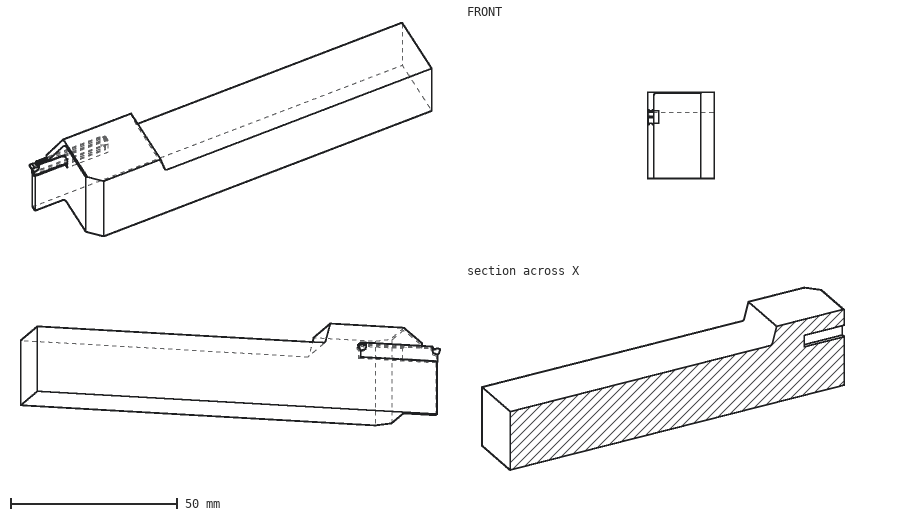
import cadquery as cq
import math


length = 125.0
width = 20.0
shank_height = 20.0
head_height = 26.0
head_rear = 34.1
head_rear_angle = 15.0
step_fillet = 0.6
nose_top = 11.4
nose_front = 5.6
nose_front_height = 21.5
nose_fillet = 0.4
blade_front = 1.0
blade_thickness = 1.9
shoulder = 11.0
root_fillet = 0.8
shoulder_chamfer = 4.0

insert_length = 25.4
insert_bottom = 16.3
insert_top = 20.8
insert_end = 0.8
land_end = 2.5
groove_end = 2.0
chip_groove_height = 19.9
bump = 0.9
bump_height = 20.3
flank = 0.4
flank_height = 18.8
heel_height = 18.3
head_root = 2.3
side_relief = 0.1
groove_depth = 0.4
groove_mouth = 1.1
groove_floor = 0.6

pocket_depth = 3.4
tip_relief = 0.1
tip_relief_half_height = 0.8

insert_rear = insert_length - insert_end
insert_middle = (insert_bottom + insert_top) / 2


def side_prism(points, x_start, x_end):
    """Extrude a Y-Z outline from x_start to x_end."""
    return cq.Workplane("YZ", origin=(x_start, 0, 0)).polyline(points).close().extrude(x_end - x_start)


def make_locating_ridges():
    """Tapered ridges that point into the insert from above and below."""
    middle = blade_thickness / 2
    ridges = cq.Workplane("XZ")
    for mouth_height, floor_height in (
        (insert_bottom, insert_bottom + groove_depth),
        (insert_top, insert_top - groove_depth),
    ):
        ridges = ridges.polyline(
            [
                (middle - groove_mouth / 2, mouth_height),
                (middle + groove_mouth / 2, mouth_height),
                (middle + groove_floor / 2, floor_height),
                (middle - groove_floor / 2, floor_height),
            ]
        ).close()
    return ridges.extrude(-insert_length)


def make_pocket():
    """Space for the insert: a seat with locating ridges and a deeper slot beside it."""
    seat = side_prism(
        [(0, insert_bottom), (insert_rear, insert_bottom), (insert_rear, insert_top), (0, insert_top)],
        0,
        blade_thickness,
    )
    tip_notch = side_prism(
        [
            (insert_rear, heel_height),
            (insert_length + tip_relief, shank_height - tip_relief_half_height),
            (insert_length + tip_relief, shank_height),
            (insert_rear, shank_height + tip_relief_half_height),
        ],
        0,
        blade_thickness,
    )
    slot_bottom = insert_bottom + groove_depth
    slot_top = insert_top - groove_depth
    slot = side_prism(
        [(0, slot_bottom), (insert_rear, slot_bottom), (insert_rear, slot_top), (0, slot_top)],
        blade_thickness,
        pocket_depth,
    )
    return seat.cut(make_locating_ridges()).union(tip_notch).union(slot)


def make_holder():
    head_rise = head_height - shank_height
    step_foot = head_rear + head_rise * math.tan(math.radians(head_rear_angle))
    holder = side_prism(
        [
            (blade_front, 0),
            (length, 0),
            (length, shank_height),
            (step_foot, shank_height),
            (head_rear, head_height),
            (nose_top, head_height),
            (nose_front, nose_front_height),
            (nose_front, insert_middle),
            (blade_front, insert_middle),
        ],
        0,
        width,
    )
    holder = holder.edges(cq.NearestToPointSelector((width / 2, step_foot, shank_height))).fillet(step_fillet)
    holder = holder.edges(
        cq.NearestToPointSelector((width / 2, nose_front, nose_front_height))
    ).fillet(nose_fillet)

    fillet_end = blade_thickness + root_fillet
    fillet_middle = root_fillet * (1 - math.sqrt(0.5))
    beside_blade = (
        cq.Workplane("XY")
        .moveTo(blade_thickness, 0)
        .lineTo(blade_thickness, shoulder - root_fillet)
        .threePointArc(
            (blade_thickness + fillet_middle, shoulder - fillet_middle),
            (fillet_end, shoulder),
        )
        .lineTo(width - shoulder_chamfer, shoulder)
        .lineTo(width, shoulder + shoulder_chamfer)
        .lineTo(width, 0)
        .close()
        .extrude(head_height)
    )
    return holder.cut(beside_blade).cut(make_pocket())


def make_cutting_head():
    """Full-width cutting head at the front end of the insert."""
    return side_prism(
        [
            (0, shank_height),
            (bump, bump_height),
            (groove_end, chip_groove_height),
            (land_end, insert_top),
            (head_root, flank_height),
            (insert_end, heel_height),
            (flank, flank_height),
        ],
        0,
        blade_thickness,
    )


def make_insert():
    body = side_prism(
        [
            (insert_end, insert_bottom),
            (insert_rear, insert_bottom),
            (insert_rear, heel_height),
            (insert_length - head_root, flank_height),
            (insert_length - land_end, insert_top),
            (land_end, insert_top),
            (head_root, flank_height),
            (insert_end, heel_height),
        ],
        side_relief,
        blade_thickness - side_relief,
    )
    front_head = make_cutting_head()
    rear_head = front_head.mirror("XZ", (0, insert_length / 2, 0))
    return body.union(front_head).union(rear_head).cut(make_locating_ridges())


holder = make_holder()
insert = make_insert()
result = cq.Compound.makeCompound([holder.solids().val(), insert.solids().val()])